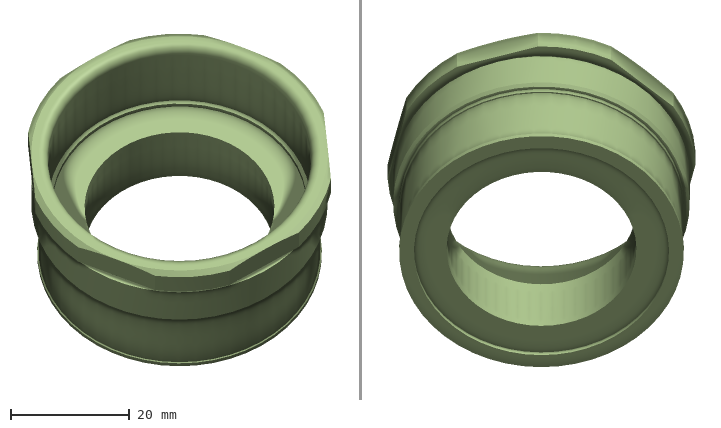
import cadquery as cq
import math

seal_bore_radius = 16.0
seal_radius = 23.75
seal_height = 12.0
layer_thickness = 1.5
peel_layer_count = 3

clamp_ring_radius = 24.0
clamp_ring_bore_radius = 21.5
clamp_ring_thickness = 0.8
seal_bottom = clamp_ring_thickness
seal_top = seal_bottom + seal_height

nut_bottom = seal_top + clamp_ring_thickness
nut_height = 14.0
nut_top = nut_bottom + nut_height
nut_bore_radius = 22.2
mouth_fillet_radius = 1.5
across_flats = 50.0
corner_radius = 26.0
hex_height = 4.5
crown_radius = 25.0
crown_angle = 30.0
crown_height = (corner_radius - crown_radius) * math.tan(math.radians(crown_angle))
collar_radius = 25.0
collar_height = 8.0
collar_chamfer = 0.5
neck_radius = 24.0


def ring(outer_radius, inner_radius, bottom, height):
    """Plain ring about the Z axis."""
    return (
        cq.Workplane("XY", origin=(0, 0, bottom))
        .circle(outer_radius)
        .circle(inner_radius)
        .extrude(height)
    )


def make_nut():
    """Hexagon head, neck and collar around a bore with a rounded mouth."""
    collar_top = nut_bottom + collar_height
    hex_bottom = nut_top - hex_height
    turned = (
        cq.Workplane("XZ")
        .moveTo(nut_bore_radius, nut_bottom)
        .lineTo(collar_radius - collar_chamfer, nut_bottom)
        .lineTo(collar_radius, nut_bottom + collar_chamfer)
        .lineTo(collar_radius, collar_top)
        .lineTo(neck_radius, collar_top)
        .lineTo(neck_radius, hex_bottom)
        .lineTo(corner_radius, hex_bottom)
        .lineTo(corner_radius, nut_top - crown_height)
        .lineTo(crown_radius, nut_top)
        .lineTo(nut_bore_radius + mouth_fillet_radius, nut_top)
        .radiusArc((nut_bore_radius, nut_top - mouth_fillet_radius), -mouth_fillet_radius)
        .close()
        .revolve(360, (0, 0, 0), (0, 1, 0))
    )
    hexagon = (
        cq.Workplane("XY", origin=(0, 0, nut_bottom))
        .polygon(6, across_flats, circumscribed=True)
        .extrude(nut_height)
    )
    return turned.intersect(hexagon)


def make_seal():
    """Seal ring with bonded peel-off layers; clean=False keeps the layer borders on its end faces."""
    sleeve_bore_radius = seal_bore_radius + peel_layer_count * layer_thickness
    seal = ring(seal_radius, sleeve_bore_radius, seal_bottom, seal_height)
    for layer in range(peel_layer_count):
        inner_radius = seal_bore_radius + layer * layer_thickness
        peel_layer = ring(inner_radius + layer_thickness, inner_radius, seal_bottom, seal_height)
        seal = seal.union(peel_layer, clean=False)
    return seal


def make_clamp_ring(bottom):
    """Flat ring at one end of the seal."""
    return ring(clamp_ring_radius, clamp_ring_bore_radius, bottom, clamp_ring_thickness)


nut = make_nut()
seal = make_seal()
clamp_rings = [make_clamp_ring(bottom) for bottom in (0, seal_top)]

result = cq.Compound.makeCompound(
    [nut.val(), seal.val(), *[clamp_ring.val() for clamp_ring in clamp_rings]]
)